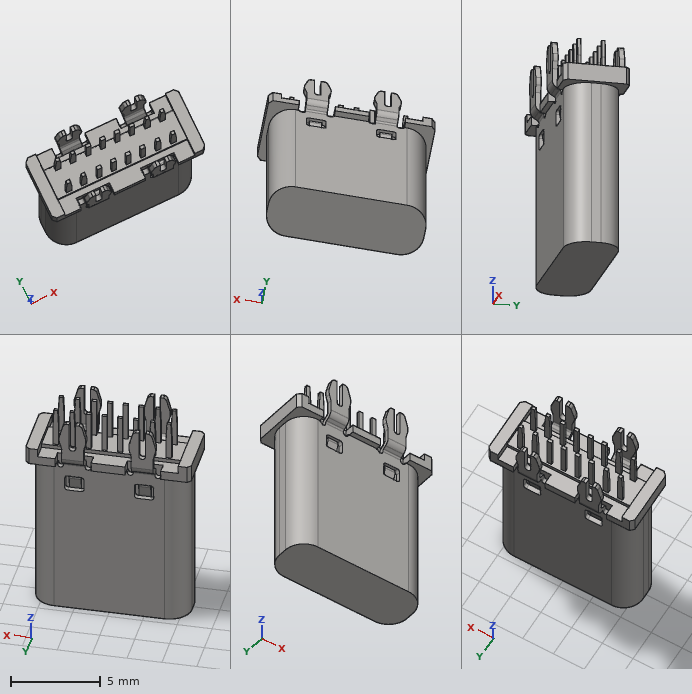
import cadquery as cq
import math

SHELL_LENGTH = 8.95
SHELL_WIDTH = 3.16
SHELL_RADIUS = 1.3
SHEET = 0.315
SHELL_FACE = SHELL_WIDTH / 2
HOUSING_FACE = SHELL_FACE - SHEET

FLANGE_LENGTH = 9.5
FLANGE_WIDTH = 3.82
FLANGE_CHAMFER = 0.22
FLANGE_BOTTOM = 9.49
LEDGE_TOP = 10.02
PLATFORM_TOP = 10.25
END_TOP = 10.49
END_SPACING = 8.06
PLATFORM_WIDTH = 1.83

STATION_X = 2.0
TOP = 12.5
LEG_FACE = 4.16 / 2
LEG_WIDTH = 1.25
NOTCH_WIDTH = 2.06
BEND_ANGLE = math.radians(60)
BEND_INSIDE_RADIUS = 0.15
BEND_TOP = 10.15
HEAD_BOTTOM = 10.84
HEAD_ARC_BOTTOM = 11.26
HEAD_ARC_TOP = 11.71
HEAD_SHOULDER = 12.33
HEAD_ARC_END_HALF = 0.74
HEAD_HALF = 0.765
HEAD_SHOULDER_HALF = 0.56
HEAD_TOP_HALF = 0.38
HEAD_CORNER_RADIUS = 0.3
SLOT_WIDTH = 0.38
SLOT_BOTTOM = 10.78
RELIEF_WIDTH = 0.33
RELIEF_BOTTOM = 9.3

WINDOW_WIDTH = 1.11
WINDOW_BOTTOM = 7.82
WINDOW_TOP = 8.74
WINDOW_RADIUS = 0.17
WEDGE_WIDTH = 0.69
WEDGE_BOTTOM = 7.88
WEDGE_RAMP_TOP = 8.53
WEDGE_TOP = 8.69
WEDGE_HEIGHT = 0.17

PIN_ROW_Y = 0.7
PIN_THICKNESS = 0.19
INNER_PIN_X = (0.45, 1.35)
OUTER_PIN_X = (2.31, 3.245)
INNER_PIN_WIDTH = 0.28
OUTER_PIN_WIDTH = 0.33
OUTER_PIN_TIP_WIDTH = 0.22
TAPER_BOTTOM = 11.48


def block(length, width, bottom, top):
    return cq.Workplane("XY").workplane(offset=bottom).rect(length, width).extrude(top - bottom)


def front_plane(y):
    """Sketch plane at the given Y facing -Y: local x is X and local y is Z."""
    return cq.Workplane("XZ", origin=(0, y, 0))


def make_round_bottom_slot(x, width, bottom, top, depth):
    """Open-topped slot with a half-round bottom, reaching from Y = 0 towards -Y."""
    radius = width / 2
    return (
        front_plane(0)
        .moveTo(x - radius, top)
        .lineTo(x - radius, bottom + radius)
        .threePointArc((x, bottom), (x + radius, bottom + radius))
        .lineTo(x + radius, top)
        .close()
        .extrude(depth)
    )


def make_shell():
    return block(SHELL_LENGTH, SHELL_WIDTH, 0, FLANGE_BOTTOM).edges("|Z").fillet(SHELL_RADIUS)


def make_flange():
    flange = block(FLANGE_LENGTH, FLANGE_WIDTH, FLANGE_BOTTOM, END_TOP)
    flange = flange.edges("|Z").chamfer(FLANGE_CHAMFER)
    flange = flange.cut(block(END_SPACING, FLANGE_WIDTH, LEDGE_TOP, END_TOP))
    return flange.union(block(END_SPACING, PLATFORM_WIDTH, LEDGE_TOP, PLATFORM_TOP))


def make_pin(x, y, width, tip_width):
    """Flat pin rooted in the flange, tapering in X up to its tip."""
    return (
        front_plane(y + PIN_THICKNESS / 2)
        .moveTo(x - width / 2, FLANGE_BOTTOM)
        .lineTo(x + width / 2, FLANGE_BOTTOM)
        .lineTo(x + width / 2, TAPER_BOTTOM)
        .lineTo(x + tip_width / 2, TOP)
        .lineTo(x - tip_width / 2, TOP)
        .lineTo(x - width / 2, TAPER_BOTTOM)
        .close()
        .extrude(PIN_THICKNESS)
    )


def make_leg_section():
    """S-bent strip on the -Y side, seen along X, as wide as the leg head."""
    inside = BEND_INSIDE_RADIUS
    outside = inside + SHEET
    offset = LEG_FACE - SHELL_FACE
    arcs_offset = (inside + outside) * (1 - math.cos(BEND_ANGLE))
    straight = (offset - arcs_offset) / math.sin(BEND_ANGLE)
    arcs_rise = (inside + outside) * math.sin(BEND_ANGLE)
    bend_bottom = BEND_TOP - arcs_rise - straight * math.cos(BEND_ANGLE)
    lower_centre_y = -SHELL_FACE - inside
    upper_centre_y = -LEG_FACE + outside

    def lower(radius, turn):
        return lower_centre_y + radius * math.cos(turn), bend_bottom + radius * math.sin(turn)

    def upper(radius, turn):
        return upper_centre_y - radius * math.cos(turn), BEND_TOP - radius * math.sin(turn)

    return (
        cq.Workplane("YZ", origin=(-HEAD_HALF, 0, 0))
        .moveTo(-SHELL_FACE, RELIEF_BOTTOM)
        .lineTo(-SHELL_FACE, bend_bottom)
        .threePointArc(lower(inside, BEND_ANGLE / 2), lower(inside, BEND_ANGLE))
        .lineTo(*upper(outside, BEND_ANGLE))
        .threePointArc(upper(outside, BEND_ANGLE / 2), upper(outside, 0))
        .lineTo(-LEG_FACE, TOP)
        .lineTo(-LEG_FACE + SHEET, TOP)
        .lineTo(-LEG_FACE + SHEET, BEND_TOP)
        .threePointArc(upper(inside, BEND_ANGLE / 2), upper(inside, BEND_ANGLE))
        .lineTo(*lower(outside, BEND_ANGLE))
        .threePointArc(lower(outside, BEND_ANGLE / 2), lower(outside, 0))
        .lineTo(-HOUSING_FACE, RELIEF_BOTTOM)
        .close()
        .extrude(2 * HEAD_HALF)
    )


def make_leg_outline():
    """Front outline of the leg: straight stem and a barbed, slotted head."""
    stem = LEG_WIDTH / 2
    arc_middle_z = (HEAD_ARC_BOTTOM + HEAD_ARC_TOP) / 2
    outline = (
        front_plane(0)
        .moveTo(-stem, RELIEF_BOTTOM)
        .lineTo(stem, RELIEF_BOTTOM)
        .lineTo(stem, HEAD_BOTTOM)
        .lineTo(HEAD_ARC_END_HALF, HEAD_ARC_BOTTOM)
        .threePointArc((HEAD_HALF, arc_middle_z), (HEAD_ARC_END_HALF, HEAD_ARC_TOP))
        .lineTo(HEAD_SHOULDER_HALF, HEAD_SHOULDER)
        .radiusArc((HEAD_TOP_HALF, TOP), -HEAD_CORNER_RADIUS)
        .lineTo(-HEAD_TOP_HALF, TOP)
        .radiusArc((-HEAD_SHOULDER_HALF, HEAD_SHOULDER), -HEAD_CORNER_RADIUS)
        .lineTo(-HEAD_ARC_END_HALF, HEAD_ARC_TOP)
        .threePointArc((-HEAD_HALF, arc_middle_z), (-HEAD_ARC_END_HALF, HEAD_ARC_BOTTOM))
        .lineTo(-stem, HEAD_BOTTOM)
        .close()
        .extrude(LEG_FACE)
    )
    slot = make_round_bottom_slot(0, SLOT_WIDTH, SLOT_BOTTOM, TOP, LEG_FACE)
    return outline.cut(slot)


def make_leg():
    return make_leg_section().intersect(make_leg_outline())


def make_notch():
    """Flange gap around a leg, with a round-bottomed relief on each side of it."""
    depth = FLANGE_WIDTH / 2 - HOUSING_FACE
    height = END_TOP - FLANGE_BOTTOM
    notch = (
        front_plane(-HOUSING_FACE)
        .center(0, FLANGE_BOTTOM + height / 2)
        .rect(NOTCH_WIDTH, height)
        .extrude(depth)
    )
    relief_x = (LEG_WIDTH + RELIEF_WIDTH) / 2
    for x in (-relief_x, relief_x):
        relief = make_round_bottom_slot(x, RELIEF_WIDTH, RELIEF_BOTTOM, FLANGE_BOTTOM, depth)
        notch = notch.union(relief.translate((0, -HOUSING_FACE, 0)))
    return notch


def make_window():
    height = WINDOW_TOP - WINDOW_BOTTOM
    return (
        front_plane(-HOUSING_FACE)
        .center(0, WINDOW_BOTTOM + height / 2)
        .rect(WINDOW_WIDTH, height)
        .extrude(SHEET)
        .edges("|Y")
        .fillet(WINDOW_RADIUS)
    )


def make_wedge():
    """Latch wedge on the housing, ramped towards its lower end."""
    crest_y = -HOUSING_FACE - WEDGE_HEIGHT
    root_y = -HOUSING_FACE + SHEET
    return (
        cq.Workplane("YZ", origin=(-WEDGE_WIDTH / 2, 0, 0))
        .moveTo(root_y, WEDGE_BOTTOM)
        .lineTo(-HOUSING_FACE, WEDGE_BOTTOM)
        .lineTo(crest_y, WEDGE_RAMP_TOP)
        .lineTo(crest_y, WEDGE_TOP)
        .lineTo(root_y, WEDGE_TOP)
        .close()
        .extrude(WEDGE_WIDTH)
    )


def at_stations(feature):
    """Copies of a feature made at X = 0 on the -Y side, at all four leg stations."""
    mirrored = feature.mirror("XZ")
    copies = []
    for x in (-STATION_X, STATION_X):
        copies.append(feature.translate((x, 0, 0)))
        copies.append(mirrored.translate((x, 0, 0)))
    return copies


body = make_shell().union(make_flange())
for cutter in at_stations(make_notch()) + at_stations(make_window()):
    body = body.cut(cutter)
for addition in at_stations(make_leg()) + at_stations(make_wedge()):
    body = body.union(addition)
for row_y in (-PIN_ROW_Y, PIN_ROW_Y):
    for side in (-1, 1):
        for pin_x in INNER_PIN_X:
            body = body.union(make_pin(side * pin_x, row_y, INNER_PIN_WIDTH, INNER_PIN_WIDTH))
        for pin_x in OUTER_PIN_X:
            body = body.union(make_pin(side * pin_x, row_y, OUTER_PIN_WIDTH, OUTER_PIN_TIP_WIDTH))

result = body